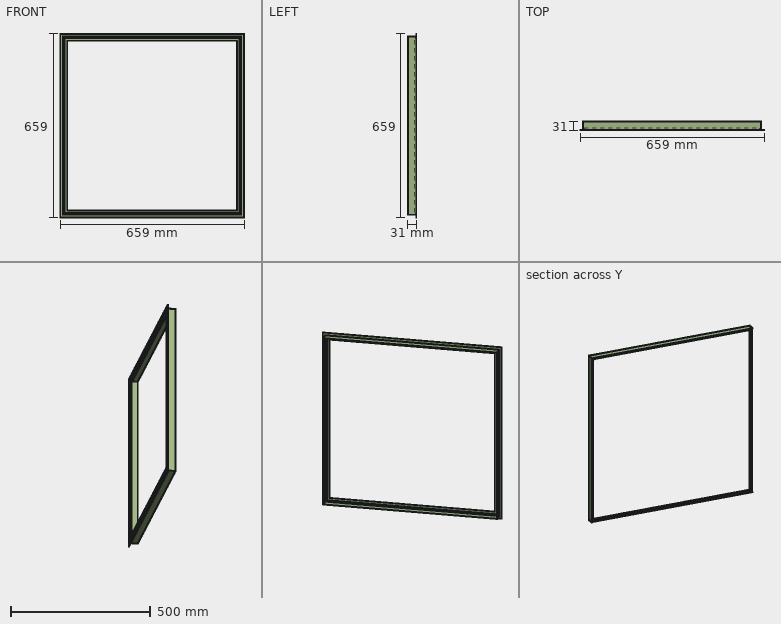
import cadquery as cq

flange_side = 659.0
opening_side = 607.5
flange_thickness = 1.5

frame_depth = 31.0
wall_inset = 9.5
wall_thickness = 1.5
wall_side = flange_side - 2 * wall_inset

channel_width = 3.75
rib_thickness = 2.0
rib_depth = 8.0
rib_side = wall_side - 2 * (wall_thickness + channel_width)


def square_ring(outer_side, inner_side, depth):
    """Square ring centred on the Y axis, from the front face at Y = 0 back to Y = depth."""
    return (
        cq.Workplane("XZ")
        .rect(outer_side, outer_side)
        .rect(inner_side, inner_side)
        .extrude(-depth)
    )


def standing_ring(outer_side, thickness, depth):
    """Thin square ring given by its outer side and its wall thickness."""
    return square_ring(outer_side, outer_side - 2 * thickness, depth)


flange = square_ring(flange_side, opening_side, flange_thickness)
wall = standing_ring(wall_side, wall_thickness, frame_depth)
rib = standing_ring(rib_side, rib_thickness, rib_depth)

result = flange.union(wall).union(rib)